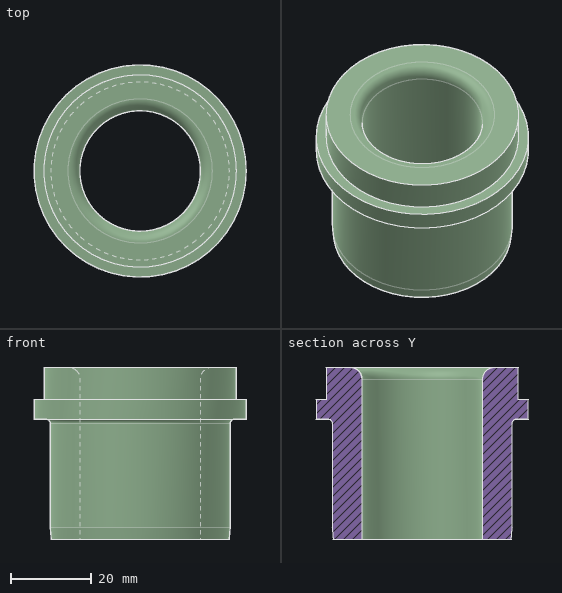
import cadquery as cq
import math

bore_diameter = 30.0
body_diameter = 45.0
flange_diameter = 53.0
collar_diameter = 48.0

lead_in_height = 3.0
body_height = 30.0
flange_height = 5.0
collar_height = 8.0

lead_in_angle = 5.0
flange_root_radius = 1.0
bore_mouth_radius = 3.0

bore_radius = bore_diameter / 2
body_radius = body_diameter / 2
flange_radius = flange_diameter / 2
collar_radius = collar_diameter / 2
lead_in_radius = body_radius - lead_in_height * math.tan(math.radians(lead_in_angle))

flange_top = body_height + flange_height
total_height = flange_top + collar_height


def concave_root(profile):
    """Continue up the body and blend outwards into the underside of the flange."""
    arc_reach = flange_root_radius * (1 - math.sqrt(0.5))
    arc_start_height = body_height - flange_root_radius
    return profile.lineTo(body_radius, arc_start_height).threePointArc(
        (body_radius + arc_reach, body_height - arc_reach),
        (body_radius + flange_root_radius, body_height),
    )


def rounded_mouth(profile):
    """Continue inwards along the top face and round over into the bore."""
    arc_reach = bore_mouth_radius * (1 - math.sqrt(0.5))
    return profile.lineTo(bore_radius + bore_mouth_radius, total_height).threePointArc(
        (bore_radius + arc_reach, total_height - arc_reach),
        (bore_radius, total_height - bore_mouth_radius),
    )


def bushing():
    """Flanged bushing: half section revolved about the Z axis."""
    profile = (
        cq.Workplane("XZ")
        .moveTo(bore_radius, 0)
        .lineTo(lead_in_radius, 0)
        .lineTo(body_radius, lead_in_height)
    )
    profile = concave_root(profile)
    profile = (
        profile.lineTo(flange_radius, body_height)
        .lineTo(flange_radius, flange_top)
        .lineTo(collar_radius, flange_top)
        .lineTo(collar_radius, total_height)
    )
    profile = rounded_mouth(profile)
    return profile.close().revolve(360, (0, 0, 0), (0, 1, 0))


result = bushing()